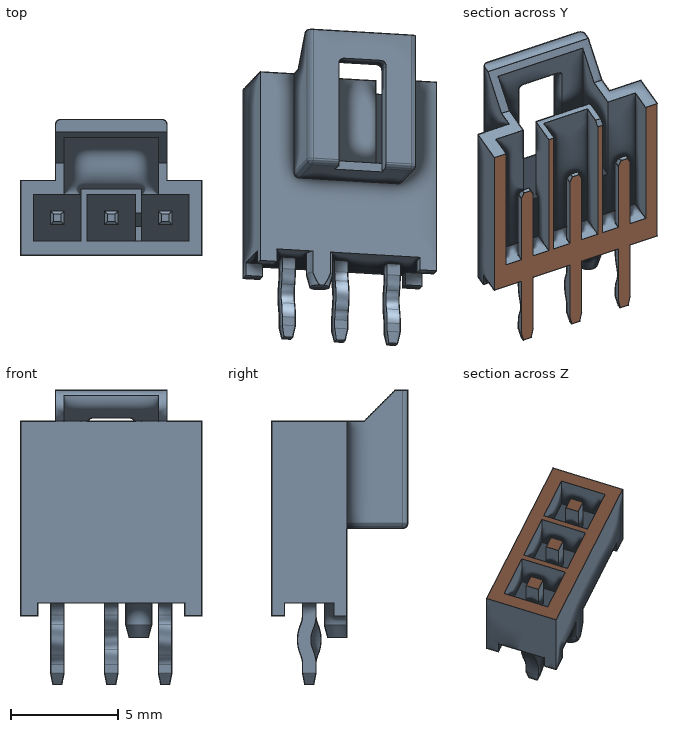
import cadquery as cq
import math


BODY_WIDTH = 8.44
BODY_DEPTH = 3.5
BODY_TOP = 9.07
BODY_BACK = BODY_DEPTH / 2
FOOT_WIDTH = 0.8
FOOT_DEPTH = 0.6
FOOT_HEIGHT = 0.6

CAVITY_WIDTH = 7.22
CAVITY_DEPTH = 2.16
CAVITY_FLOOR = 2.0
TUBE_INNER_WIDTH = 2.26
TUBE_WALL = 0.275
NOTCH_START = 0.22
NOTCH_DROP = 0.62

HOOD_WIDTH = 5.2
HOOD_BACK = 4.59
HOOD_BOTTOM = 4.07
HOOD_TOP = 10.515
HOOD_SIDE_WALL = 0.41
HOOD_BACK_WALL = 0.84
HOOD_TOP_LAND = 0.59
HOOD_EDGE_RADIUS = 0.25
WINDOW_WIDTH = 2.24
WINDOW_TOP = 9.21
WINDOW_CORNER_RADIUS = 0.25

PIN_PITCH = 2.51
PIN_SIZE = 0.63
PIN_TOP = 6.2
PIN_BOTTOM = -3.195
PIN_TOP_TIP_SIZE = 0.36
PIN_TOP_TIP_LENGTH = 0.3
PIN_BOTTOM_TIP_SIZE = 0.42
PIN_BOTTOM_TIP_LENGTH = 0.53
BEND_TOP = 0.05
BEND_LENGTH = 2.31
BEND_OFFSET = 0.24

POST_X = 1.28
POST_Y = 1.31
POST_RADIUS = 0.61
POST_TIP_RADIUS = 0.45
POST_TIP_START = -0.41
POST_BOTTOM = -1.01


def block(x_range, y_range, z_range):
    """Rectangular block between the given limits."""
    size = [high - low for low, high in (x_range, y_range, z_range)]
    corner = (x_range[0], y_range[0], z_range[0])
    return cq.Workplane("XY").box(*size, centered=False).translate(corner)


def centered_block(width, y_range, z_range):
    """Rectangular block that is symmetric about x = 0."""
    return block((-width / 2, width / 2), y_range, z_range)


def extruded_side_profile(profile, width):
    """Extrude a closed YZ profile symmetrically about x = 0."""
    return profile.extrude(width / 2, both=True)


def make_body():
    """Solid housing block standing on four corner feet."""
    y_range = (-BODY_BACK, BODY_BACK)
    body = centered_block(BODY_WIDTH, y_range, (0, BODY_TOP))
    foot_gap_x = BODY_WIDTH - 2 * FOOT_WIDTH
    foot_gap_y = BODY_BACK - FOOT_DEPTH
    body = body.cut(centered_block(foot_gap_x, y_range, (0, FOOT_HEIGHT)))
    return body.cut(centered_block(BODY_WIDTH, (-foot_gap_y, foot_gap_y), (0, FOOT_HEIGHT)))


def make_hood():
    """Solid latch hood with a 45 degree top and rounded back and bottom edges."""
    hood = centered_block(HOOD_WIDTH, (0, HOOD_BACK), (HOOD_BOTTOM, HOOD_TOP))
    hood = hood.edges("(>Y and |Z) or (<Z and (not <Y))").fillet(HOOD_EDGE_RADIUS)
    slope_start = HOOD_BACK - HOOD_TOP_LAND
    slope_end = slope_start - (HOOD_TOP - BODY_TOP)
    above_slope = (
        cq.Workplane("YZ")
        .moveTo(slope_start, HOOD_TOP)
        .lineTo(slope_end, BODY_TOP)
        .lineTo(0, BODY_TOP)
        .lineTo(0, HOOD_TOP)
        .close()
    )
    return hood.cut(extruded_side_profile(above_slope, HOOD_WIDTH))


def make_hood_opening():
    """Space for the mating latch, with a window that runs down the back wall to its lower edge."""
    floor = HOOD_BOTTOM + HOOD_SIDE_WALL
    wall_front = HOOD_BACK - HOOD_BACK_WALL
    opening = centered_block(HOOD_WIDTH - 2 * HOOD_SIDE_WALL, (0, wall_front), (floor, HOOD_TOP))
    window_y = (wall_front, HOOD_BACK)
    window = centered_block(WINDOW_WIDTH, window_y, (HOOD_BOTTOM, WINDOW_TOP))
    window = window.edges(">Z and |Y").fillet(WINDOW_CORNER_RADIUS)
    return opening.union(window)


def make_tube():
    """Square tube around the middle contact, with a keying notch in its +X wall."""
    front = -CAVITY_DEPTH / 2
    back = CAVITY_DEPTH / 2
    z_range = (CAVITY_FLOOR, BODY_TOP)
    tube = centered_block(TUBE_INNER_WIDTH + 2 * TUBE_WALL, (front, back + TUBE_WALL), z_range)
    tube = tube.cut(centered_block(TUBE_INNER_WIDTH, (front, back), z_range))
    notch = (
        cq.Workplane("YZ")
        .workplane(offset=TUBE_INNER_WIDTH / 2)
        .moveTo(NOTCH_START, BODY_TOP)
        .lineTo(NOTCH_START - NOTCH_DROP, BODY_TOP - NOTCH_DROP)
        .lineTo(front, BODY_TOP - NOTCH_DROP)
        .lineTo(front, BODY_TOP)
        .close()
        .extrude(TUBE_WALL)
    )
    return tube.cut(notch)


def make_housing():
    """Hollow housing with its latch hood and keyed tube."""
    cavity_y = (-CAVITY_DEPTH / 2, CAVITY_DEPTH / 2)
    housing = make_body().union(make_hood())
    housing = housing.cut(centered_block(CAVITY_WIDTH, cavity_y, (CAVITY_FLOOR, BODY_TOP)))
    return housing.cut(make_hood_opening()).union(make_tube())


def make_tip(base_z, end_z, end_size):
    """Square pin tip tapering from base_z to end_z, above or below the shank."""
    length = end_z - base_z
    return (
        cq.Workplane("XY", origin=(0, 0, base_z))
        .rect(PIN_SIZE, PIN_SIZE)
        .workplane(offset=length)
        .rect(end_size, end_size)
        .loft(ruled=True)
    )


def make_pin():
    """Square pin whose tail bows toward -Y between its straight ends."""
    half = PIN_SIZE / 2
    shank_top = PIN_TOP - PIN_TOP_TIP_LENGTH
    shank_bottom = PIN_BOTTOM + PIN_BOTTOM_TIP_LENGTH
    bend_bottom = BEND_TOP - BEND_LENGTH
    bend_middle = BEND_TOP - BEND_LENGTH / 2

    angle = 2 * math.atan(BEND_OFFSET / (BEND_LENGTH / 2))
    center_radius = BEND_LENGTH / 4 / math.sin(angle)
    inner_radius = center_radius - half
    outer_radius = center_radius + half
    bowed_reach = inner_radius * math.sin(angle)
    bowed_shift = inner_radius * (1 - math.cos(angle))
    hollow_reach = outer_radius * math.sin(angle)
    hollow_shift = outer_radius * (1 - math.cos(angle))

    bowed_join = -half - bowed_shift
    hollow_join = half - hollow_shift
    profile = (
        cq.Workplane("YZ")
        .moveTo(-half, shank_top)
        .lineTo(-half, BEND_TOP)
        .tangentArcPoint((bowed_join, BEND_TOP - bowed_reach), relative=False)
        .threePointArc((-half - BEND_OFFSET, bend_middle), (bowed_join, bend_bottom + bowed_reach))
        .tangentArcPoint((-half, bend_bottom), relative=False)
        .lineTo(-half, shank_bottom)
        .lineTo(half, shank_bottom)
        .lineTo(half, bend_bottom)
        .tangentArcPoint((hollow_join, bend_bottom + hollow_reach), relative=False)
        .threePointArc((half - BEND_OFFSET, bend_middle), (hollow_join, BEND_TOP - hollow_reach))
        .tangentArcPoint((half, BEND_TOP), relative=False)
        .lineTo(half, shank_top)
        .close()
    )
    pin = extruded_side_profile(profile, PIN_SIZE)
    pin = pin.union(make_tip(shank_top, PIN_TOP, PIN_TOP_TIP_SIZE))
    return pin.union(make_tip(shank_bottom, PIN_BOTTOM, PIN_BOTTOM_TIP_SIZE))


def make_post():
    """Round locating post with a tapered end, cut flush with the back of the housing."""
    half_profile = (
        cq.Workplane("XZ")
        .moveTo(0, FOOT_HEIGHT)
        .lineTo(POST_RADIUS, FOOT_HEIGHT)
        .lineTo(POST_RADIUS, POST_TIP_START)
        .lineTo(POST_TIP_RADIUS, POST_BOTTOM)
        .lineTo(0, POST_BOTTOM)
        .close()
    )
    post = half_profile.revolve(360, (0, 0), (0, 1)).translate((POST_X, POST_Y, 0))
    return post.intersect(centered_block(BODY_WIDTH, (0, BODY_BACK), (POST_BOTTOM, FOOT_HEIGHT)))


def make_header():
    """Housing with its post and three pins; the middle pin is turned to bow toward +Y."""
    header = make_housing().union(make_post())
    pin = make_pin()
    for position in (-1, 0, 1):
        turn = 180 if position == 0 else 0
        placed_pin = pin.rotate((0, 0, 0), (0, 0, 1), turn).translate((position * PIN_PITCH, 0, 0))
        header = header.union(placed_pin)
    return header


result = make_header()